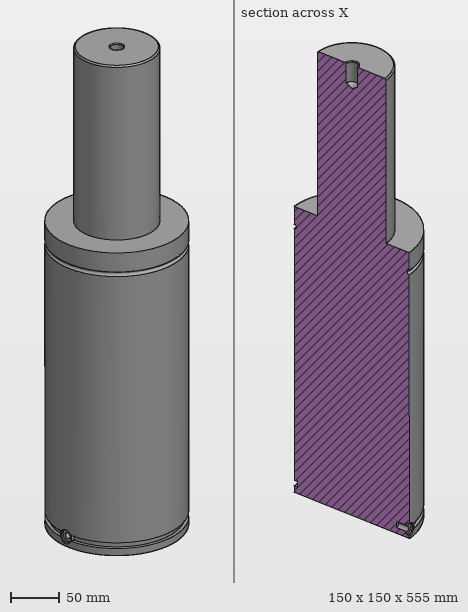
import cadquery as cq

total_height = 555.0
body_diameter = 150.0
rod_diameter = 90.0
body_height = 352.5
rod_chamfer = 1.5

base_groove_bottom = 8.5
base_groove_width = 6.5
base_groove_depth = 4.0

collar_groove_height = 327.5
collar_groove_radius = 2.5

thread_diameter = 14.0
countersink_diameter = 16.0
rod_hole_depth = 25.0
rod_hole_tip_height = 4.0

port_height = 11.0
port_boss_diameter = 16.5
port_thread_depth = 3.5
port_bore_diameter = 6.5
port_bore_depth = 16.5

body_radius = body_diameter / 2
thread_radius = thread_diameter / 2
countersink_radius = countersink_diameter / 2
countersink_depth = countersink_radius - thread_radius


def base_groove():
    """Square-section ring cut from the outside of the body."""
    return (
        cq.Workplane("XY", origin=(0, 0, base_groove_bottom))
        .circle(body_radius)
        .circle(body_radius - base_groove_depth)
        .extrude(base_groove_width)
    )


def collar_groove():
    """Torus centred on the body surface, leaving a half-round groove."""
    return (
        cq.Workplane("XZ")
        .center(body_radius, collar_groove_height)
        .circle(collar_groove_radius)
        .revolve(360, (-body_radius, 0, 0), (-body_radius, 1, 0))
    )


def threaded_hole(depth, tip_height):
    """Countersunk hole entering downward at the origin; a zero tip height gives a flat floor."""
    profile = (
        cq.Workplane("XZ")
        .lineTo(countersink_radius, 0)
        .lineTo(thread_radius, -countersink_depth)
        .lineTo(thread_radius, -depth)
        .lineTo(0, -depth - tip_height)
        .close()
    )
    return profile.revolve(360, (0, 0, 0), (0, 1, 0))


def port_cylinder(diameter, depth):
    """Cylinder running from the -Y side of the body toward its axis."""
    return (
        cq.Workplane("XZ", origin=(0, -body_radius, port_height))
        .circle(diameter / 2)
        .extrude(-depth)
    )


body_blank = cq.Workplane("XY").circle(body_radius).extrude(body_height)
body = body_blank.cut(base_groove()).cut(collar_groove())

port_boss = port_cylinder(port_boss_diameter, port_bore_depth).intersect(body_blank)
port_thread = (
    threaded_hole(port_thread_depth, 0)
    .rotate((0, 0, 0), (1, 0, 0), 90)
    .translate((0, -body_radius, port_height))
)
body = body.union(port_boss).cut(port_thread)
body = body.cut(port_cylinder(port_bore_diameter, port_bore_depth))

rod = (
    cq.Workplane("XY")
    .circle(rod_diameter / 2)
    .extrude(total_height - body_height)
    .faces(">Z")
    .chamfer(rod_chamfer)
    .translate((0, 0, body_height))
)
rod_hole = threaded_hole(rod_hole_depth, rod_hole_tip_height).translate((0, 0, total_height))

result = body.union(rod).cut(rod_hole)